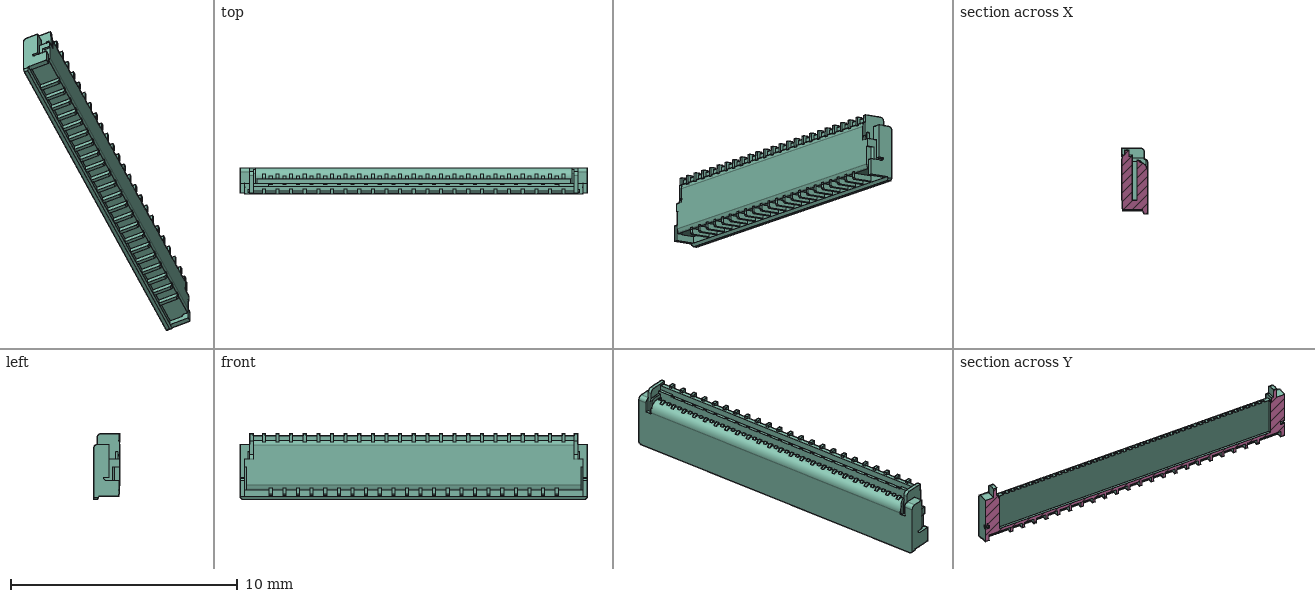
import cadquery as cq

LENGTH = 15.3
DEPTH = 1.16
HEIGHT = 2.9
HALF = LENGTH / 2

FOOT_HEIGHT = 0.14
FOOT_TOP_Y = 0.92
FOOT_BOTTOM_Y = 1.0
FOOT_CORNER = 0.09

PLATE_HALF = 7.45
FLOOR_Z = 0.43
LEAD_Z = 0.65
LEAD_RUN = 0.05
LIP_HEIGHT = 0.05
SHOULDER_Z = 1.79
PLATE_TOP_Z = 2.4
SLOPE_TOP_Z = 2.6
SLOPE_RUN = 0.06
BEAM_HALF = 7.07
BEAM_Y = (0.14, 0.34)
BEAM_TOP_Z = 2.82
LEDGE_Z = 2.6
LEDGE_GROOVE_HALF = 6.4
LEDGE_GROOVE_DEPTH = 0.06
REAR_RADIUS = 0.46
REAR_TOP_Z = 2.31
REAR_HALF = 6.98
SLOT_Y = (0.47, 0.67)
SLOT_HALF = 6.92
SLOT_FLOOR_Z = 0.61
SIDE_RECESS = 0.08
SIDE_RECESS_Y = (0.25, 0.34)
SIDE_RECESS_TOP_Z = 1.44

LUG_FRONT_Y = 0.05
LUG_STEP_Z = 0.84
LUG_UPPER_Y = 0.47
LUG_TOP_Z = 2.43
LUG_RADIUS = 0.18
NOTCH_Y = 0.72
NOTCH_HEIGHT = 0.12
NOTCH_BEVEL = 0.08

CHEEK_REAR_Y = 1.09
CHEEK_TOP_Z = 2.48
CHEEK_RADIUS = 0.18

LATCH_OUTER_X = 7.24
LATCH_REAR_Y = 1.01
LATCH_RADIUS = 0.18
LATCH_STEP_Z = 2.59
LATCH_UPPER_Y = 0.05
LATCH_LOWER_Y = 0.02
LATCH_TOE_Z = 1.97
HOOK_OUTER_X = 7.3
HOOK_Y = (0.08, 0.2)
HOOK_TOP_Z = 2.11
HOOK_RADIUS = 0.05

LONG_COUNT = 23
LONG_SPAN = 13.2
PITCH = LONG_SPAN / (LONG_COUNT - 1)
SHORT_COUNT = 22
CONTACT_WIDTH = 0.14
FRONT_ARM_Y = 0.23
FRONT_ARM_BOTTOM_Z = 2.52
LONG_HUMP_Y = 0.9
LONG_HUMP_RADIUS = 0.18
SHORT_HUMP_Y = 0.8
SHORT_HUMP_RADIUS = 0.09
HUMP_TOP_Z = 2.37
TAIL_FRONT_Y = 0.03
TAIL_Z = (0.18, 0.5)
TAIL_BEVEL = 0.06
TIP_LENGTH = 0.05


def prism(points, x_start, x_end):
    """Extrude a (Y, Z) outline from x_start to x_end."""
    return cq.Workplane("YZ", origin=(x_start, 0, 0)).polyline(points).close().extrude(x_end - x_start)


def block(x_range, y_range, z_range):
    """Axis-aligned box between the given limits."""
    (x0, x1), (y0, y1), (z0, z1) = x_range, y_range, z_range
    return cq.Workplane("XY").box(x1 - x0, y1 - y0, z1 - z0, centered=False).translate((x0, y0, z0))


def row_centres(count):
    """Centres of an evenly pitched row about the middle of the part."""
    return [(i - (count - 1) / 2) * PITCH for i in range(count)]


def make_foot():
    """Rear foot with a slanted front and the low rear panel above it."""
    foot = prism(
        [(FOOT_BOTTOM_Y, 0), (DEPTH, 0), (DEPTH, FOOT_HEIGHT), (FOOT_TOP_Y, FOOT_HEIGHT)], -HALF, HALF
    )
    foot = foot.edges("|Y").edges("<Z").chamfer(FOOT_CORNER)
    panel = block((-PLATE_HALF, PLATE_HALF), (FOOT_TOP_Y, DEPTH), (FOOT_HEIGHT, FLOOR_Z))
    return foot.union(panel)


def make_housing():
    """Front plate, beam and rear wall around the cable slot."""
    lower = prism(
        [
            (LEAD_RUN, FLOOR_Z),
            (DEPTH, FLOOR_Z),
            (DEPTH, SHOULDER_Z),
            (0, SHOULDER_Z),
            (0, LEAD_Z),
            (LEAD_RUN, FLOOR_Z + LIP_HEIGHT),
        ],
        -PLATE_HALF,
        PLATE_HALF,
    )
    front_wall = prism(
        [
            (0, SHOULDER_Z),
            (0, PLATE_TOP_Z),
            (SLOPE_RUN, SLOPE_TOP_Z),
            (BEAM_Y[0], SLOPE_TOP_Z),
            (BEAM_Y[0], BEAM_TOP_Z),
            (BEAM_Y[1], BEAM_TOP_Z),
            (BEAM_Y[1], LEDGE_Z),
            (SLOT_Y[0], LEDGE_Z),
            (SLOT_Y[0], SHOULDER_Z),
        ],
        -BEAM_HALF,
        BEAM_HALF,
    )
    rear_wall = block((-REAR_HALF, REAR_HALF), (SLOT_Y[0], DEPTH), (SHOULDER_Z, REAR_TOP_Z))
    rear_wall = rear_wall.edges("|X and >Y and >Z").fillet(REAR_RADIUS)
    slot = block((-SLOT_HALF, SLOT_HALF), SLOT_Y, (SLOT_FLOOR_Z, REAR_TOP_Z))
    groove = block(
        (-LEDGE_GROOVE_HALF, LEDGE_GROOVE_HALF),
        (BEAM_Y[1], SLOT_Y[0]),
        (LEDGE_Z - LEDGE_GROOVE_DEPTH, LEDGE_Z),
    )
    housing = lower.union(front_wall).union(rear_wall).cut(slot).cut(groove)
    recess = (
        cq.Workplane("XY", origin=(0, 0, FLOOR_Z))
        .moveTo(-PLATE_HALF, 0)
        .lineTo(-PLATE_HALF + SIDE_RECESS, 0)
        .lineTo(-PLATE_HALF + SIDE_RECESS, SIDE_RECESS_Y[0])
        .lineTo(-PLATE_HALF, SIDE_RECESS_Y[1])
        .close()
        .extrude(SIDE_RECESS_TOP_Z - FLOOR_Z)
    )
    return housing.cut(recess).cut(recess.mirror("YZ"))


def make_left_end():
    """Stepped lug with its cap, latch, hook and cheek at the -X end."""
    lug = prism(
        [
            (LUG_FRONT_Y, FOOT_HEIGHT),
            (DEPTH, FOOT_HEIGHT),
            (DEPTH, LUG_TOP_Z),
            (LUG_UPPER_Y, LUG_TOP_Z),
            (LUG_UPPER_Y, LUG_STEP_Z + NOTCH_HEIGHT),
            (NOTCH_Y, LUG_STEP_Z + NOTCH_HEIGHT),
            (NOTCH_Y, LUG_STEP_Z + NOTCH_BEVEL),
            (NOTCH_Y - NOTCH_BEVEL, LUG_STEP_Z),
            (LUG_FRONT_Y, LUG_STEP_Z),
        ],
        -HALF,
        -PLATE_HALF,
    )
    cap = block((-PLATE_HALF, -LATCH_OUTER_X), (LUG_UPPER_Y, DEPTH), (SHOULDER_Z, LUG_TOP_Z))
    lug = lug.union(cap).edges("|X and >Y and >Z").fillet(LUG_RADIUS)
    latch = prism(
        [
            (0, SHOULDER_Z),
            (LATCH_UPPER_Y, LATCH_TOE_Z),
            (LATCH_LOWER_Y, LATCH_TOE_Z),
            (LATCH_LOWER_Y, LATCH_STEP_Z),
            (LATCH_UPPER_Y, LATCH_STEP_Z),
            (LATCH_UPPER_Y, HEIGHT),
            (LATCH_REAR_Y, HEIGHT),
            (LATCH_REAR_Y, SHOULDER_Z),
        ],
        -LATCH_OUTER_X,
        -BEAM_HALF,
    )
    latch = latch.edges("|X and >Y and >Z").fillet(LATCH_RADIUS)
    hook = block((-HOOK_OUTER_X, -LATCH_OUTER_X), HOOK_Y, (SHOULDER_Z, HOOK_TOP_Z))
    hook = hook.edges("|X and >Z").fillet(HOOK_RADIUS)
    cheek = block((-BEAM_HALF, -REAR_HALF), (SLOT_Y[0], CHEEK_REAR_Y), (SHOULDER_Z, CHEEK_TOP_Z))
    cheek = cheek.edges("|X and >Y and >Z").fillet(CHEEK_RADIUS)
    return lug.union(latch).union(hook).union(cheek)


def contact_slice(x, y_range, z_range):
    """Block one contact thick, centred on x."""
    return block((x - CONTACT_WIDTH / 2, x + CONTACT_WIDTH / 2), y_range, z_range)


def contact_hump(x, rear_y, radius):
    """Rounded contact arm standing out of the rear wall, beside the slot."""
    hump = contact_slice(x, (SLOT_Y[1], rear_y), (SHOULDER_Z, HUMP_TOP_Z))
    return hump.edges("|X and >Y and >Z").fillet(radius)


def long_contact_parts(x):
    """Arm over the front beam and hump on the rear wall."""
    arm = contact_slice(x, (0, FRONT_ARM_Y), (FRONT_ARM_BOTTOM_Z, HEIGHT))
    return [arm, contact_hump(x, LONG_HUMP_Y, LONG_HUMP_RADIUS)]


def short_contact_parts(x):
    """Solder tail under the housing, tip beside the slot and hump on the rear wall."""
    tail = prism(
        [
            (TAIL_FRONT_Y + TAIL_BEVEL, TAIL_Z[0]),
            (FOOT_TOP_Y, TAIL_Z[0]),
            (FOOT_TOP_Y, TAIL_Z[1]),
            (TAIL_FRONT_Y, TAIL_Z[1]),
            (TAIL_FRONT_Y, TAIL_Z[0] + TAIL_BEVEL),
        ],
        x - CONTACT_WIDTH / 2,
        x + CONTACT_WIDTH / 2,
    )
    tip = contact_slice(x, (SLOT_Y[0] - TIP_LENGTH, SLOT_Y[0]), (SHOULDER_Z, LEDGE_Z))
    return [tail, tip, contact_hump(x, SHORT_HUMP_Y, SHORT_HUMP_RADIUS)]


left_end = make_left_end()
parts = [make_housing(), left_end, left_end.mirror("YZ")]
for x in row_centres(LONG_COUNT):
    parts += long_contact_parts(x)
for x in row_centres(SHORT_COUNT):
    parts += short_contact_parts(x)

body = make_foot().val().fuse(*[part.val() for part in parts]).clean()
result = cq.Workplane(body.Solids()[0])